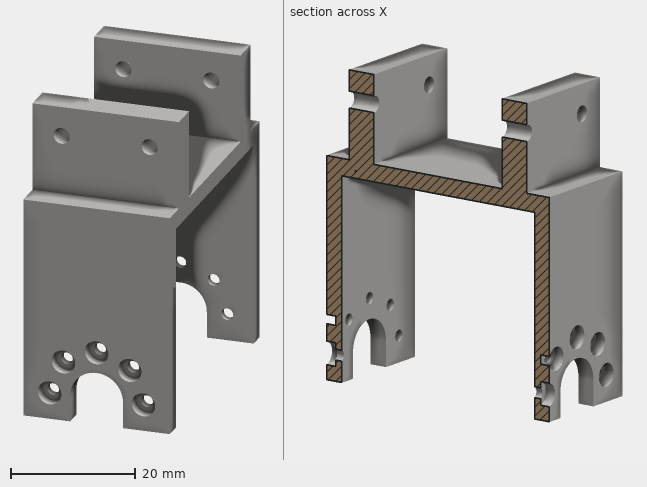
import cadquery as cq
import math

width = 25.0
depth = 44.5
height = 52.5
bridge_thickness = 3.0
front_leg_thickness = 3.1
back_leg_thickness = 3.0

lug_height = 15.0
lug_thickness = 5.0
lug_setback = 4.5
lug_hole_diameter = 2.75
lug_hole_spacing = 15.0
lug_hole_below_top = 5.0

notch_radius = 4.5
notch_center_z = 4.5
screw_circle_radius = 8.0
screw_angles = [0, 45, 90, 135, 180]
screw_diameter = 2.0
screw_head_diameter = 4.0
screw_head_depth = 1.75

bridge_top = height - lug_height
leg_outer_y = depth / 2
lug_outer_y = leg_outer_y - lug_setback
lug_inner_y = lug_outer_y - lug_thickness


def block(y_min, y_max, z_min, z_max):
    """Full-width box spanning the given Y and Z ranges."""
    box = cq.Workplane("XY").box(width, y_max - y_min, z_max - z_min, centered=(True, False, False))
    return box.translate((0, y_min, z_min))


def cylinder_y(x, z, diameter, y_min, y_max):
    """Cylinder along Y, used as a drilling tool."""
    solid = cq.Solid.makeCylinder(diameter / 2, y_max - y_min, cq.Vector(x, y_min, z), cq.Vector(0, 1, 0))
    return cq.Workplane(obj=solid)


def make_body():
    """Bridge on two legs, with two lugs standing on it."""
    body = block(-leg_outer_y, leg_outer_y, 0, bridge_top)
    front_inner_y = -leg_outer_y + front_leg_thickness
    back_inner_y = leg_outer_y - back_leg_thickness
    body = body.cut(block(front_inner_y, back_inner_y, 0, bridge_top - bridge_thickness))
    body = body.union(block(-lug_outer_y, -lug_inner_y, bridge_top, height))
    return body.union(block(lug_inner_y, lug_outer_y, bridge_top, height))


def cut_lug_holes(body):
    """Plain holes through both lugs."""
    for x in (-lug_hole_spacing / 2, lug_hole_spacing / 2):
        z = height - lug_hole_below_top
        body = body.cut(cylinder_y(x, z, lug_hole_diameter, -lug_outer_y, lug_outer_y))
    return body


def cut_notches(body):
    """Round-topped notch, open at the foot, through both legs."""
    round_end = cylinder_y(0, notch_center_z, 2 * notch_radius, -leg_outer_y, leg_outer_y)
    mouth = cq.Workplane("XY").box(2 * notch_radius, depth, notch_center_z, centered=(True, True, False))
    return body.cut(round_end).cut(mouth)


def cut_screw_holes(body):
    """Arc of screw holes in both legs, counterbored from the outer faces."""
    head_floor_y = leg_outer_y - screw_head_depth
    for angle in screw_angles:
        x = screw_circle_radius * math.cos(math.radians(angle))
        z = notch_center_z + screw_circle_radius * math.sin(math.radians(angle))
        body = body.cut(cylinder_y(x, z, screw_diameter, -leg_outer_y, leg_outer_y))
        body = body.cut(cylinder_y(x, z, screw_head_diameter, -leg_outer_y, -head_floor_y))
        body = body.cut(cylinder_y(x, z, screw_head_diameter, head_floor_y, leg_outer_y))
    return body


result = cut_screw_holes(cut_notches(cut_lug_holes(make_body())))